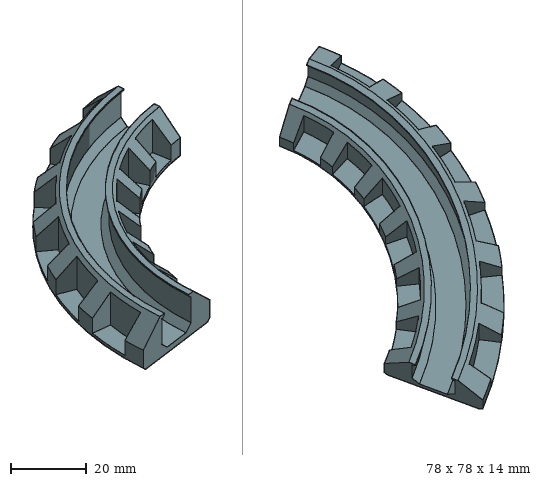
import cadquery as cq
import math

outer_radius = 78.0
section_width = 28.1
height = 14.0
bend_angle = 90.0
start_angle = 180.0
half_width = section_width / 2
mid_radius = outer_radius - half_width
bend_center = (outer_radius, outer_radius)

top_half_width = 7.0
lip_half_width = 5.15
lip_depth = 0.5
wall_half_width = 6.1
wall_thickness = 1.95
floor_thickness = wall_thickness
floor_chamfer = 2.1
bottom_chamfer = 0.9
shoulder_height = height - (half_width - top_half_width)

pocket_count = 6
pocket_to_rib_ratio = 2
rib_count = pocket_count + 1
rib_angle = bend_angle / (rib_count + pocket_to_rib_ratio * pocket_count)
pocket_angle = pocket_to_rib_ratio * rib_angle
pocket_floor_height = 1.95
cut_clearance = 1.55


def half_section(side):
    """Half of the channel section: side is +1 for the outer flank, -1 for the inner."""
    lip_base = height - lip_depth
    lip_underside = lip_base - (wall_half_width - lip_half_width)
    outline = [
        (0, 0),
        (half_width - bottom_chamfer, 0),
        (half_width, bottom_chamfer),
        (half_width, shoulder_height),
        (top_half_width, height),
        (lip_half_width, height),
        (lip_half_width, lip_base),
        (wall_half_width, lip_underside),
        (wall_half_width, floor_thickness + floor_chamfer),
        (wall_half_width - floor_chamfer, floor_thickness),
        (0, floor_thickness),
    ]
    return [(mid_radius + side * offset, z) for offset, z in outline]


def channel_body():
    """The full section, mirrored about the mid radius and swept round the bend."""
    inner_points = half_section(-1)[1:-1]
    outline = half_section(1) + inner_points[::-1]
    swept = cq.Workplane("XZ").polyline(outline).close().revolve(bend_angle, (0, 0), (0, 1))
    return swept.rotate((0, 0, 0), (0, 0, 1), start_angle).translate((*bend_center, 0))


def bend_point(radius, angle):
    """Plan position at a radius and angle about the bend axis."""
    turn = math.radians(start_angle + angle)
    return (
        bend_center[0] + radius * math.cos(turn),
        bend_center[1] + radius * math.sin(turn),
    )


def pocket_cutter(near_radius, far_radius, first_angle):
    """Radial-sided sector that clears one pocket above its floor."""
    last_angle = first_angle + pocket_angle
    middle_angle = first_angle + pocket_angle / 2
    return (
        cq.Workplane("XY")
        .workplane(offset=pocket_floor_height)
        .moveTo(*bend_point(near_radius, first_angle))
        .lineTo(*bend_point(far_radius, first_angle))
        .threePointArc(bend_point(far_radius, middle_angle), bend_point(far_radius, last_angle))
        .lineTo(*bend_point(near_radius, last_angle))
        .threePointArc(bend_point(near_radius, middle_angle), bend_point(near_radius, first_angle))
        .close()
        .extrude(height)
    )


result = channel_body()
wall_offset = wall_half_width + wall_thickness
reach = half_width + cut_clearance
for index in range(pocket_count):
    first_angle = rib_angle + index * (rib_angle + pocket_angle)
    for side in (1, -1):
        near_radius = mid_radius + side * wall_offset
        far_radius = mid_radius + side * reach
        result = result.cut(pocket_cutter(near_radius, far_radius, first_angle))